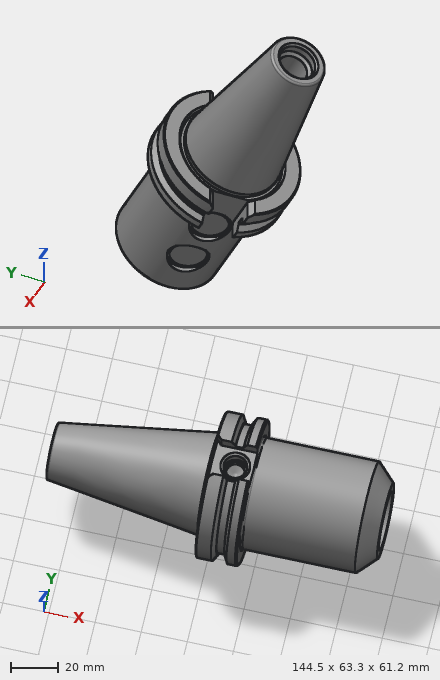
import cadquery as cq
import math


length = 144.5
taper_end = 67.9
taper_big_diameter = 44.5
taper_ratio = 7 / 24
taper_small_diameter = taper_big_diameter - taper_ratio * taper_end
taper_tip_round = 1.0
neck_diameter = 43.9
neck_bevel_length = 0.5

flange_start = 69.2
flange_end = 87.1
flange_diameter = 63.3
flange_edge_chamfer = 0.5
flange_rear_chamfer = 0.7
groove_center = 79.3
groove_mouth_width = 6.8
groove_floor_width = 3.5
groove_floor_diameter = 55.9
groove_flank_depth = 2.9
recess_outer_diameter = 49.1
recess_floor_diameter = 47.1
recess_depth = 1.0

slot_width = 16.0
slot_corner_chamfer = 2.3
upper_slot_floor = 24.5
lower_slot_floor = 22.4

body_diameter = 48.2
body_nose_chamfer = 7.8
body_root_fillet = 0.9

mouth_diameter = 18.3
mouth_depth = 1.2
counterbore_diameter = 16.5
counterbore_depth = 4.6
through_diameter = 13.5
tool_bore_diameter = 25.4
tool_bore_start = 82.3

chip_rim_diameter = 12.5
chip_rim_depth = 0.7
chip_diameter = 10.1
chip_depth = 4.8
chip_pilot_diameter = 8.0
chip_pilot_depth = 7.2
drill_point_angle = 118.0

screw_diameter = 15.9
screw_outer_end = 21.7
screw_hole_rim_diameter = 17.9
screw_hole_rim_depth = 2.3
first_screw_x = 92.6
screw_spacing = 23.0
screw_positions = [first_screw_x + i * screw_spacing for i in range(2)]


def turned(points):
    """Solid of revolution about X from an outline of (x, radius) points that ends on the axis."""
    return cq.Workplane("XY").polyline(points).close().revolve(360, (0, 0, 0), (1, 0, 0))


def taper_shank():
    outline = [
        (0, 0),
        (0, taper_small_diameter / 2),
        (taper_end, taper_big_diameter / 2),
        (taper_end + neck_bevel_length, neck_diameter / 2),
        (flange_end, neck_diameter / 2),
        (flange_end, 0),
    ]
    return turned(outline).faces("<X").edges().fillet(taper_tip_round)


def flange():
    radius = flange_diameter / 2
    mouth = groove_mouth_width / 2
    floor = groove_floor_width / 2
    outline = [
        (flange_start + recess_depth, 0),
        (flange_start + recess_depth, recess_floor_diameter / 2),
        (flange_start, recess_outer_diameter / 2),
        (flange_start, radius - flange_edge_chamfer),
        (flange_start + flange_edge_chamfer, radius),
        (groove_center - mouth, radius),
        (groove_center - floor, radius - groove_flank_depth),
        (groove_center - floor, groove_floor_diameter / 2),
        (groove_center + floor, groove_floor_diameter / 2),
        (groove_center + floor, radius - groove_flank_depth),
        (groove_center + mouth, radius),
        (flange_end - flange_rear_chamfer, radius),
        (flange_end, radius - flange_rear_chamfer),
        (flange_end, 0),
    ]
    return turned(outline)


def drive_slot(floor_height, side):
    """Cutter for a drive slot that also clears the body fillet; side is +1 for +Z and -1 for -Z."""
    half = slot_width / 2
    slot_end = flange_end + body_root_fillet
    outline = [
        (flange_start, half + slot_corner_chamfer),
        (flange_start + slot_corner_chamfer, half),
        (slot_end, half),
        (slot_end, -half),
        (flange_start + slot_corner_chamfer, -half),
        (flange_start, -half - slot_corner_chamfer),
    ]
    start = cq.Workplane("XY").workplane(offset=side * floor_height)
    return start.polyline(outline).close().extrude(side * flange_diameter / 2)


def tool_body():
    """Cylinder with a bevelled nose and a concave fillet where it leaves the flange."""
    radius = body_diameter / 2
    fillet_center = (flange_end + body_root_fillet, radius + body_root_fillet)
    fillet_reach = body_root_fillet * math.sqrt(0.5)
    profile = (
        cq.Workplane("XY")
        .moveTo(groove_center, 0)
        .lineTo(groove_center, radius)
        .lineTo(flange_end, radius)
        .lineTo(flange_end, fillet_center[1])
        .threePointArc(
            (fillet_center[0] - fillet_reach, fillet_center[1] - fillet_reach),
            (fillet_center[0], radius),
        )
        .lineTo(length - body_nose_chamfer, radius)
        .lineTo(length, radius - body_nose_chamfer)
        .lineTo(length, 0)
        .close()
    )
    return profile.revolve(360, (0, 0, 0), (1, 0, 0))


def axial_bore():
    cone_length = (counterbore_diameter - through_diameter) / 2
    outline = [
        (0, 0),
        (0, mouth_diameter / 2),
        (mouth_depth, counterbore_diameter / 2),
        (counterbore_depth, counterbore_diameter / 2),
        (counterbore_depth + cone_length, through_diameter / 2),
        (tool_bore_start, through_diameter / 2),
        (tool_bore_start, tool_bore_diameter / 2),
        (length, tool_bore_diameter / 2),
        (length, 0),
    ]
    return turned(outline)


def chip_hole():
    """Stepped blind hole with a conical bottom, sunk from the upper slot floor."""
    point_height = chip_pilot_diameter / 2 / math.tan(math.radians(drill_point_angle / 2))
    outline = [
        (0, 0),
        (chip_rim_diameter / 2, 0),
        (chip_diameter / 2, -chip_rim_depth),
        (chip_diameter / 2, -chip_depth),
        (chip_pilot_diameter / 2, -chip_depth),
        (chip_pilot_diameter / 2, -chip_pilot_depth),
        (0, -chip_pilot_depth - point_height),
    ]
    profile = cq.Workplane("XZ").polyline(outline).close()
    return profile.revolve(360, (0, 0, 0), (0, 1, 0)).translate((groove_center, 0, upper_slot_floor))


def z_cylinder(x, diameter, bottom, top):
    return cq.Workplane("XY", origin=(x, 0, bottom)).circle(diameter / 2).extrude(top - bottom)


def screw_hole(x):
    body_bottom = -body_diameter / 2
    hole = z_cylinder(x, screw_diameter, body_bottom, 0)
    rim = z_cylinder(x, screw_hole_rim_diameter, body_bottom, body_bottom + screw_hole_rim_depth)
    return hole.union(rim)


def make_housing():
    body = taper_shank().union(flange()).union(tool_body())
    body = body.cut(drive_slot(upper_slot_floor, 1))
    body = body.cut(drive_slot(lower_slot_floor, -1))
    body = body.cut(axial_bore()).cut(chip_hole())
    for x in screw_positions:
        body = body.cut(screw_hole(x))
    return body


def make_set_screw(x):
    """Plain set screw, its flat inner end level with the lowest line of the tool bore."""
    return z_cylinder(x, screw_diameter, -screw_outer_end, -tool_bore_diameter / 2)


housing = make_housing()
set_screws = [make_set_screw(x).val() for x in screw_positions]
result = cq.Compound.makeCompound([housing.val(), *set_screws])